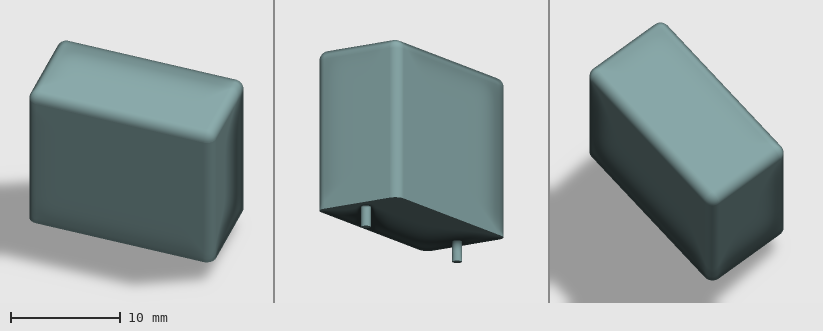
import cadquery as cq

body_length = 18.0
body_width = 9.0
body_height = 15.0
edge_radius = 0.9

lead_diameter = 0.9
lead_pitch = 15.0
lead_length = 1.9


def make_body():
    """Box with rounded upright edges and a rounded top rim; the base stays sharp."""
    box = cq.Workplane("XY").box(
        body_length, body_width, body_height, centered=(True, True, False)
    )
    return box.edges("|Z or >Z").fillet(edge_radius)


def make_leads():
    """Pair of leads on the X axis, pointing down from the base."""
    return (
        cq.Workplane("XY")
        .rarray(lead_pitch, 1, 2, 1)
        .circle(lead_diameter / 2)
        .extrude(-lead_length)
    )


result = make_body().union(make_leads())